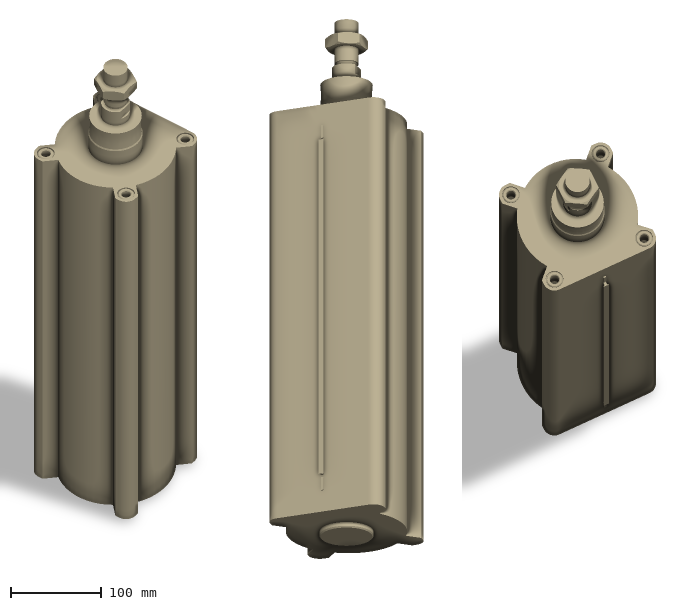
import cadquery as cq
import math


barrel_length = 480.0
barrel_radius = 67.0
half_width = 68.0
front_arc_radius = 62.8
screw_spacing = 110.0
lobe_diameter = 25.5
lobe_offset = half_width - lobe_diameter / 2

screw_head_diameter = 18.0
screw_recess_diameter = 19.6
screw_recess_depth = 2.0
screw_thread_diameter = 10.11
screw_chamfer_diameter = 12.0
screw_face_diameter = 16.0
screw_thread_depth = 20.0

spigot_diameter = 60.0
spigot_height = 6.0
spigot_chamfer = 1.5
gland_diameter = spigot_diameter
gland_height = 22.0
gland_chamfer_height = 1.8
collar_diameter = 58.0
collar_waist_diameter = 56.3
collar_height = 24.0

rail_height = 5.0
rail_head_width = 6.0
rail_head_thickness = 1.0
rail_stem_width = 3.0
rail_end_gap = 43.0
stop_length = 15.0
stop_end_gap = 25.0
stop_height = 1.5

rod_end_height = 119.0
rod_diameter = 32.0
thread_diameter = 27.0
thread_length = 48.0
undercut_diameter = 24.3
undercut_length = 4.0
shoulder_neck_diameter = 27.0
shoulder_depth = 53.0
flats_width = 27.0
flats_end_depth = 64.0

nut_width = 41.0
nut_height = 13.5
nut_depth = 17.6
nut_chamfer_angle = 30.0
nut_turn_angle = 30.0

gland_chamfer_width = (gland_diameter - collar_diameter) / 2
gland_top = barrel_length + gland_height + collar_height
rod_tip = barrel_length + rod_end_height


def cylinder(diameter, bottom, height):
    return cq.Workplane("XY").workplane(offset=bottom).circle(diameter / 2).extrude(height)


def box_between(x_size, y_low, y_high, z_low, z_high):
    box = cq.Workplane("XY").box(x_size, y_high - y_low, z_high - z_low, centered=(True, False, False))
    return box.translate((0, y_low, z_low))


def screw_positions():
    return cq.Workplane("XY").rect(screw_spacing, screw_spacing, forConstruction=True).vertices().vals()


def barrel():
    """Round barrel with a screw lobe at each corner, a bulged front and a flat back."""
    body = cylinder(2 * barrel_radius, 0, barrel_length)

    front_arc_center = front_arc_radius - half_width
    front_bulge = cylinder(2 * front_arc_radius, 0, barrel_length).translate((0, front_arc_center, 0))
    body = body.union(front_bulge)

    neck_offset = lobe_diameter / math.sqrt(2)
    side_end = half_width - neck_offset
    for x_sign in (-1, 1):
        for y_sign in (-1, 1):
            points = [
                (0, 0),
                (neck_offset, 0),
                (half_width, side_end),
                (half_width, lobe_offset),
                (lobe_offset, half_width),
                (side_end, half_width),
                (0, neck_offset),
            ]
            placed = [(x_sign * x, y_sign * y) for x, y in points]
            neck = cq.Workplane("XY").polyline(placed).close().extrude(barrel_length)
            center = (x_sign * lobe_offset, y_sign * lobe_offset, 0)
            lobe = cylinder(lobe_diameter, 0, barrel_length).translate(center)
            body = body.union(neck).union(lobe)

    back = box_between(2 * lobe_offset, 0, half_width, 0, barrel_length)
    return body.union(back)


def screw_cut():
    """Ring-shaped gap round a screw head, with the head's chamfered threaded hole."""
    top = barrel_length
    head = cylinder(screw_head_diameter, top - screw_recess_depth, screw_recess_depth)
    head_chamfer = (screw_head_diameter - screw_face_diameter) / 2
    head = head.faces(">Z").chamfer(head_chamfer)
    gap = cylinder(screw_recess_diameter, top - screw_recess_depth, screw_recess_depth).cut(head)
    hole_radius = screw_thread_diameter / 2
    mouth_radius = screw_chamfer_diameter / 2
    hole_profile = [
        (0, top - screw_thread_depth),
        (hole_radius, top - screw_thread_depth),
        (hole_radius, top - (mouth_radius - hole_radius)),
        (mouth_radius, top),
        (0, top),
    ]
    hole = cq.Workplane("XZ").polyline(hole_profile).close().revolve(360, (0, 0), (0, 1))
    return gap.union(hole)


def gland():
    """Rod gland: a chamfered base with a waisted collar on top."""
    base = cylinder(gland_diameter, barrel_length, gland_height)
    base = base.faces(">Z").chamfer(gland_chamfer_height, gland_chamfer_width)
    base_top = barrel_length + gland_height
    waist_point = (collar_waist_diameter / 2, base_top + collar_height / 2)
    collar = (
        cq.Workplane("XZ")
        .moveTo(0, base_top)
        .lineTo(collar_diameter / 2, base_top)
        .threePointArc(waist_point, (collar_diameter / 2, gland_top))
        .lineTo(0, gland_top)
        .close()
        .revolve(360, (0, 0), (0, 1))
    )
    return base.union(collar)


def rail():
    """T-shaped rail on the flat back, with a low stop beyond each end."""
    crest = half_width + rail_height
    rail_top = barrel_length - rail_end_gap
    stem = box_between(rail_stem_width, half_width, crest, rail_end_gap, rail_top)
    head = box_between(rail_head_width, crest - rail_head_thickness, crest, rail_end_gap, rail_top)
    strip = stem.union(head)
    for bottom in (stop_end_gap, barrel_length - stop_end_gap - stop_length):
        stop = box_between(rail_stem_width, half_width, half_width + stop_height, bottom, bottom + stop_length)
        strip = strip.union(stop)
    return strip


def make_housing():
    spigot = cylinder(spigot_diameter, -spigot_height, spigot_height).faces("<Z").chamfer(spigot_chamfer)
    housing = barrel().union(spigot).union(gland()).union(rail())
    for position in screw_positions():
        housing = housing.cut(screw_cut().translate(position.toTuple()))
    rod_bore = cylinder(rod_diameter, barrel_length, gland_top - barrel_length)
    return housing.cut(rod_bore)


def make_rod():
    """Threaded rod end, undercut, conical shoulder and a shank with two wrench flats."""
    undercut_end = rod_tip - thread_length - undercut_length
    profile = [
        (0, barrel_length),
        (rod_diameter / 2, barrel_length),
        (rod_diameter / 2, rod_tip - shoulder_depth),
        (shoulder_neck_diameter / 2, rod_tip - shoulder_depth),
        (undercut_diameter / 2, undercut_end),
        (undercut_diameter / 2, rod_tip - thread_length),
        (thread_diameter / 2, rod_tip - thread_length),
        (thread_diameter / 2, rod_tip),
        (0, rod_tip),
    ]
    rod = cq.Workplane("XZ").polyline(profile).close().revolve(360, (0, 0), (0, 1))
    flats_bottom = rod_tip - flats_end_depth
    flats_height = flats_end_depth - shoulder_depth
    flats_zone = cylinder(rod_diameter, flats_bottom, flats_height)
    kept = box_between(flats_width, -rod_diameter, rod_diameter, flats_bottom, flats_bottom + flats_height)
    return rod.cut(flats_zone.cut(kept))


def make_nut():
    """Hexagon nut with two sides square to X, its corners chamfered at both ends."""
    corner_radius = nut_width / math.sqrt(3)
    flat_radius = nut_width / 2
    drop = (corner_radius - flat_radius) * math.tan(math.radians(nut_chamfer_angle))
    bottom = rod_tip - nut_depth - nut_height
    top = bottom + nut_height
    hexagon = cq.Workplane("XY").workplane(offset=bottom).polygon(6, 2 * corner_radius).extrude(nut_height)
    hexagon = hexagon.rotate((0, 0, 0), (0, 0, 1), nut_turn_angle)
    envelope_profile = [
        (0, bottom),
        (flat_radius, bottom),
        (corner_radius, bottom + drop),
        (corner_radius, top - drop),
        (flat_radius, top),
        (0, top),
    ]
    envelope = cq.Workplane("XZ").polyline(envelope_profile).close().revolve(360, (0, 0), (0, 1))
    return hexagon.intersect(envelope).cut(cylinder(thread_diameter, bottom, nut_height))


housing = make_housing()
rod = make_rod()
nut = make_nut()

result = cq.Compound.makeCompound([housing.val(), rod.val(), nut.val()])